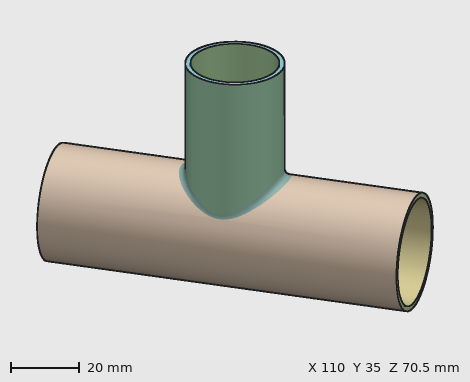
import cadquery as cq

run_length = 110.0
run_outer_diameter = 35.0
run_inner_diameter = 32.0

branch_outer_diameter = 29.0
branch_inner_diameter = 26.0
branch_height = 53.0

weld_radius = 2.0


def run_cylinder(diameter):
    """Solid cylinder over the full length of the main pipe."""
    return cq.Workplane("YZ").circle(diameter / 2).extrude(run_length / 2, both=True)


def branch_cylinder(diameter):
    """Solid cylinder from the main pipe axis to the branch end."""
    return cq.Workplane("XY").circle(diameter / 2).extrude(branch_height)


body = run_cylinder(run_outer_diameter).union(branch_cylinder(branch_outer_diameter))
junction_size = branch_outer_diameter / 2 + weld_radius
junction_box = cq.selectors.BoxSelector(
    (-junction_size, -junction_size, 0),
    (junction_size, junction_size, run_outer_diameter / 2 + weld_radius),
)
body = body.edges(junction_box).fillet(weld_radius)

result = body.cut(run_cylinder(run_inner_diameter)).cut(branch_cylinder(branch_inner_diameter))